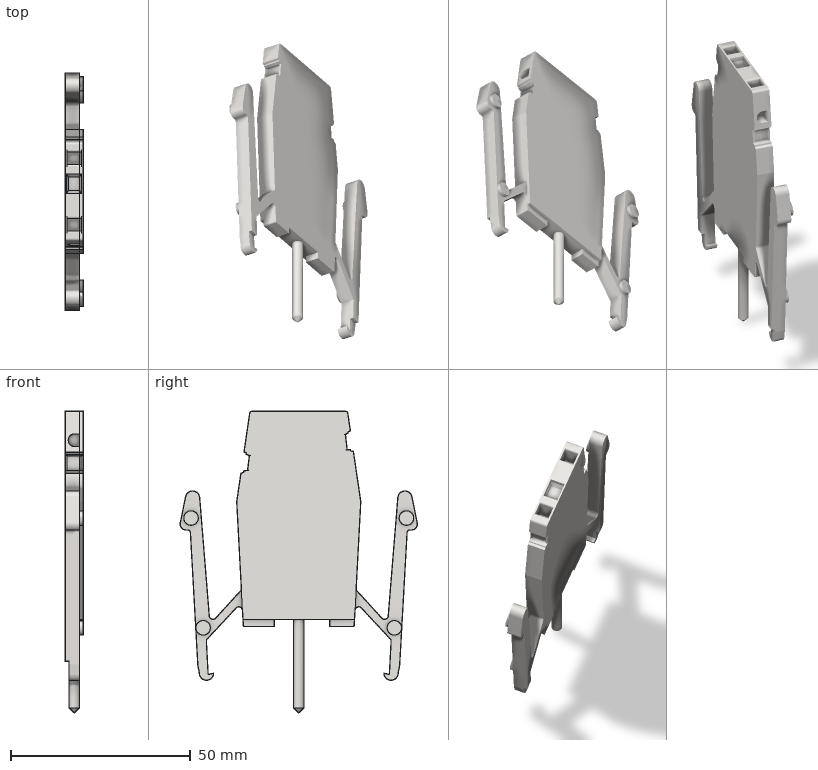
import cadquery as cq
import math

HOUSING_T = 4.0
TOTAL_T = 5.0
COVER_T = TOTAL_T - HOUSING_T

TOP_Z = 83.95
TOP_HALF_W = 13.6
SHOULDER_Z = 58.8
SHOULDER_HALF_W = 17.3
FOOT_Z = 24.0
FOOT_HALF_W = 15.45
TOP_CORNER_R = 0.7
FOOT_CORNER_R = 0.4

RECESS_Z = 25.9
RECESS_Y_MIN = -6.8
RECESS_Y_MAX = 8.6

BACK_MOUTH_Z = (78.5, 72.8)
BACK_UPPER_STEP = [(13.8, 78.15), (13.7, 77.8)]
BACK_FLOOR = [(12.8, 77.5), (13.3, 73.2)]
BACK_LOWER_STEP = [(14.35, 73.3), (14.5, 72.95)]
FRONT_MOUTH_Z = (72.6, 66.65)
FRONT_UPPER_STEP = [(14.6, 72.4), (14.7, 71.95)]
FRONT_FLOOR = [(13.5, 71.6), (14.0, 67.5)]
FRONT_LOWER_STEP = [(15.3, 67.4), (15.4, 67.0)]
COVER_NOTCH_RISE = 0.25

SEAT_X_MIN = 0.5
SEAT_X_MAX = 4.45
SEAT_DEPTH = 0.5

POCKET_X_MIN = 0.5
POCKET_X_MAX = 4.5
POCKET_Y_NEAR = 7.0
POCKET_Y_FAR = 11.5
POCKET_DEPTH = 6.7
POCKET_MOUTH_R = 0.5

FUNNEL_CENTRE = (2.4, 2.2)
FUNNEL_MOUTH = (4.1, 5.5)
FUNNEL_FLOOR = (3.1, 3.8)
FUNNEL_STRAIGHT_DEPTH = 1.3
FUNNEL_TAPER_DEPTH = 0.8

SLOT_X = 2.6
SLOT_Z = 75.9
SLOT_R = 1.8
SLOT_FLOOR_Y = -11.75

ARM_ROOT_Y = 15.1
ARM_TOP_Z = 35.2
ARM_UNDER_Z = 31.65
ARM_LEG_CORNER = (24.7, 24.7)
ARM_LEG_UNDER = (25.7, 20.3)
ARM_FILLET_R = 1.0
ARM_LEG_UNDER_R = 0.7
CAP_CENTRE = (29.55, 59.8)
CAP_R = 2.0
CAP_OUTER_TILT = math.radians(11.5)
CAP_INNER_TILT = math.radians(4.6)
BARB_CORNER = (33.4, 50.9)
BARB_INNER_Y = 30.2
BARB_R = 1.7
BARB_INNER_R = 0.75
HOOK_STEP_Z = 14.35
HOOK_BEND_Z = 13.35
HOOK_OUTER_Y = 28.1
HOOK_CENTRE = (25.7, 11.1)
HOOK_R = 2.0
HOOK_THROAT = (25.2, 10.75)
HOOK_X_MIN = 1.0

KNOB_R = 2.0
KNOB_CENTRES = [(30.0, 54.2), (26.6, 23.7)]

PIN_X = TOTAL_T / 2
PIN_R = 1.5
PIN_TIP_H = 1.4


def side_point(z):
    """Point on the upper sloping side at height z, for the +Y side."""
    slope = (SHOULDER_HALF_W - TOP_HALF_W) / (TOP_Z - SHOULDER_Z)
    return (TOP_HALF_W + slope * (TOP_Z - z), z)


def fillet_at(body, y, z, radius):
    """Round the edge along X that lies nearest to (y, z)."""
    middle_x = body.val().BoundingBox().center.x
    nearest = cq.NearestToPointSelector((middle_x, y, z))
    return body.edges("|X").edges(nearest).fillet(radius)


def mirrored(points):
    """The same points on the -Y side."""
    return [(-y, z) for y, z in points]


def notched_side(mouth_z, upper_step, floor, lower_step, notch_rise):
    """One side from the top corner down to the shoulder, with its notch floor raised outward."""
    return [
        (TOP_HALF_W, TOP_Z),
        side_point(mouth_z[0]),
        *upper_step,
        *[(y + notch_rise, z) for y, z in floor],
        *lower_step,
        side_point(mouth_z[1]),
        (SHOULDER_HALF_W, SHOULDER_Z),
    ]


def body_plate(thickness, bottom_z, notch_rise):
    """Notched plate standing on x = 0, cut off at bottom_z."""
    lower_slope = (SHOULDER_HALF_W - FOOT_HALF_W) / (SHOULDER_Z - FOOT_Z)
    bottom_corner = (FOOT_HALF_W + lower_slope * (bottom_z - FOOT_Z), bottom_z)
    back = notched_side(BACK_MOUTH_Z, BACK_UPPER_STEP, BACK_FLOOR, BACK_LOWER_STEP, notch_rise)
    front = notched_side(FRONT_MOUTH_Z, FRONT_UPPER_STEP, FRONT_FLOOR, FRONT_LOWER_STEP, notch_rise)
    back.append(bottom_corner)
    front.append(bottom_corner)
    outline = back + mirrored(front)[::-1]
    plate = cq.Workplane("YZ").polyline(outline).close().extrude(thickness)
    for side in (1, -1):
        plate = fillet_at(plate, side * TOP_HALF_W, TOP_Z, TOP_CORNER_R)
    return plate


def top_pocket(side):
    """Deep rectangular pocket with rounded mouth edges, on the +Y (1) or -Y (-1) side."""
    near, far, r = POCKET_Y_NEAR, POCKET_Y_FAR, POCKET_MOUTH_R
    bend = r * (1 - math.sqrt(0.5))
    shape = (
        cq.Workplane("YZ", origin=(POCKET_X_MIN, 0, 0))
        .moveTo(near, TOP_Z)
        .threePointArc((near + r - bend, TOP_Z - bend), (near + r, TOP_Z - r))
        .lineTo(near + r, TOP_Z - POCKET_DEPTH)
        .lineTo(far - r, TOP_Z - POCKET_DEPTH)
        .lineTo(far - r, TOP_Z - r)
        .threePointArc((far - r + bend, TOP_Z - bend), (far, TOP_Z))
        .close()
        .extrude(POCKET_X_MAX - POCKET_X_MIN)
    )
    return shape if side > 0 else shape.mirror("XZ")


def funnel_pocket():
    """Rectangular pocket whose walls taper in below a straight mouth."""
    taper_top_z = TOP_Z - FUNNEL_STRAIGHT_DEPTH
    mouth = (
        cq.Workplane("XY", origin=(*FUNNEL_CENTRE, taper_top_z))
        .rect(*FUNNEL_MOUTH)
        .extrude(FUNNEL_STRAIGHT_DEPTH)
    )
    taper = (
        cq.Workplane("XY", origin=(*FUNNEL_CENTRE, taper_top_z))
        .rect(*FUNNEL_MOUTH)
        .workplane(offset=-FUNNEL_TAPER_DEPTH)
        .rect(*FUNNEL_FLOOR)
        .loft(ruled=True)
    )
    return mouth.union(taper)


def label_seat(floor, side):
    """Shallow seat along a notch floor; its +X wall slopes out to the cover's outer face."""
    (top_y, top_z), (bottom_y, bottom_z) = floor
    rise = (0, side * (top_y - bottom_y), top_z - bottom_z)
    plane = cq.Plane(origin=(0, side * bottom_y, bottom_z), xDir=(1, 0, 0), normal=rise)
    bottom = -side * SEAT_DEPTH
    mouth = side * COVER_NOTCH_RISE
    section = [(SEAT_X_MIN, bottom), (SEAT_X_MAX, bottom), (TOTAL_T, mouth), (SEAT_X_MIN, mouth)]
    return cq.Workplane(plane).polyline(section).close().extrude(math.hypot(*rise))


def shared_openings():
    return [
        top_pocket(1),
        top_pocket(-1),
        funnel_pocket(),
        label_seat(BACK_FLOOR, 1),
        label_seat(FRONT_FLOOR, -1),
    ]


def front_slot():
    """Horizontal slot with a round -X end, closed on the +X side by the cover."""
    length = SHOULDER_HALF_W + SLOT_FLOOR_Y
    centre = cq.Workplane("XZ", origin=(SLOT_X, SLOT_FLOOR_Y, SLOT_Z))
    round_end = centre.circle(SLOT_R).extrude(length)
    corner = cq.Workplane("XZ", origin=(SLOT_X, SLOT_FLOOR_Y, SLOT_Z - SLOT_R))
    straight = corner.rect(HOUSING_T - SLOT_X, 2 * SLOT_R, centered=False).extrude(length)
    return round_end.union(straight)


def underside_recess():
    """Step up between the feet, running through the full housing thickness."""
    corner = cq.Workplane("XY", origin=(0, RECESS_Y_MIN, FOOT_Z))
    return corner.box(HOUSING_T, RECESS_Y_MAX - RECESS_Y_MIN, RECESS_Z - FOOT_Z, centered=False)


def latch_leg():
    """Leg on the +Y side: arm, barbed head with a round cap, and hook."""
    cap_y, cap_z = CAP_CENTRE
    cap_outer = (cap_y + CAP_R * math.cos(CAP_OUTER_TILT), cap_z + CAP_R * math.sin(CAP_OUTER_TILT))
    cap_inner = (cap_y - CAP_R * math.cos(CAP_INNER_TILT), cap_z + CAP_R * math.sin(CAP_INNER_TILT))
    hook_y, hook_z = HOOK_CENTRE
    leg = (
        cq.Workplane("YZ")
        .moveTo(ARM_ROOT_Y, ARM_TOP_Z)
        .lineTo(*ARM_LEG_CORNER)
        .lineTo(*cap_inner)
        .threePointArc((cap_y, cap_z + CAP_R), cap_outer)
        .lineTo(*BARB_CORNER)
        .lineTo(BARB_INNER_Y, BARB_CORNER[1])
        .lineTo(HOOK_OUTER_Y, HOOK_BEND_Z)
        .lineTo(hook_y + HOOK_R, hook_z)
        .threePointArc((hook_y, hook_z - HOOK_R), (hook_y - HOOK_R, hook_z))
        .lineTo(*HOOK_THROAT)
        .lineTo(*ARM_LEG_UNDER)
        .lineTo(ARM_ROOT_Y, ARM_UNDER_Z)
        .close()
        .extrude(HOUSING_T)
    )
    leg = fillet_at(leg, *ARM_LEG_CORNER, ARM_FILLET_R)
    leg = fillet_at(leg, *ARM_LEG_UNDER, ARM_LEG_UNDER_R)
    leg = fillet_at(leg, *BARB_CORNER, BARB_R)
    leg = fillet_at(leg, BARB_INNER_Y, BARB_CORNER[1], BARB_INNER_R)

    hook_relief = cq.Workplane("XY").box(HOOK_X_MIN, BARB_CORNER[0], HOOK_STEP_Z, centered=False)
    leg = leg.cut(hook_relief)

    knobs = (
        cq.Workplane("YZ", origin=(HOUSING_T, 0, 0))
        .pushPoints(KNOB_CENTRES)
        .circle(KNOB_R)
        .extrude(COVER_T)
    )
    return leg.union(knobs)


def make_housing():
    housing = body_plate(HOUSING_T, FOOT_Z, 0)
    for side in (1, -1):
        housing = fillet_at(housing, side * FOOT_HALF_W, FOOT_Z, FOOT_CORNER_R)
    housing = housing.cut(underside_recess()).cut(front_slot())
    for opening in shared_openings():
        housing = housing.cut(opening)

    leg = latch_leg()
    housing = housing.union(leg).union(leg.mirror("XZ"))
    arm_slope = (ARM_UNDER_Z - ARM_LEG_UNDER[1]) / (ARM_LEG_UNDER[0] - ARM_ROOT_Y)
    armpit_z = ARM_UNDER_Z - arm_slope * (FOOT_HALF_W - ARM_ROOT_Y)
    for side in (1, -1):
        housing = fillet_at(housing, side * FOOT_HALF_W, armpit_z, ARM_FILLET_R)
        housing = fillet_at(housing, side * FOOT_HALF_W, ARM_TOP_Z, ARM_FILLET_R)
    return housing


def make_cover():
    cover = body_plate(COVER_T, RECESS_Z, COVER_NOTCH_RISE).translate((HOUSING_T, 0, 0))
    for opening in shared_openings():
        cover = cover.cut(opening)
    return cover


def make_pin():
    """Round pin hanging from the underside recess down to a sharp point at z = 0."""
    half_section = [(0, 0), (PIN_R, PIN_TIP_H), (PIN_R, RECESS_Z), (0, RECESS_Z)]
    pin = cq.Workplane("XZ").polyline(half_section).close().revolve(360, (0, 0), (0, 1))
    return pin.translate((PIN_X, 0, 0))


housing = make_housing()
cover = make_cover()
pin = make_pin()

result = cq.Compound.makeCompound([housing.val(), cover.val(), pin.val()])